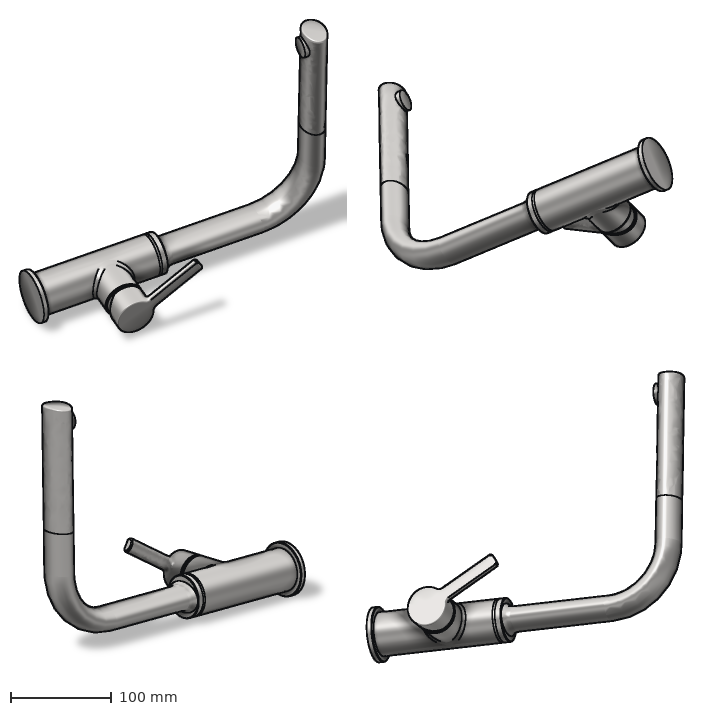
import cadquery as cq
import math


flange_radius = 27.5
flange_thickness = 5.5
flange_edge_chamfer = 0.5
column_radius = 22.0
body_end = 131.0
ring_width = 2.5
collar_start = body_end + ring_width
collar_end = 140.2
collar_edge_chamfer = 0.5

tube_half_width = 17.5
tube_half_depth = 12.3
flare_length = 8.0
flare_growth = 3.5
flare_sections = 5
bend_start = 247.5
bend_radius = 62.0
riser_lean = 1.0
bend_angle = 90 - riser_lean
riser_length = 44.5

overall_height = 263.0
head_top = overall_height - flange_radius
dome_radius = 107.0
head_edge_fillet = 2.3
nozzle_radius = 10.7
nozzle_below_top = 18.5
nozzle_projection = 2.5

arm_position = 80.0
arm_radius = 20.0
arm_end = 44.8
arm_edge_chamfer = 1.0
arm_root_chamfer = 3.0
cartridge_radius = 18.5
cartridge_end = 56.8

knob_start = 46.0
knob_end = 71.5
knob_rough_length = 45.5
knob_edge_chamfer = 1.0
handle_edge_fillet = 1.3
relief_angle = 25.0
relief_start = 1.5
lever_angle = 30.0
lever_length = 82.5
lever_half_thickness = 5.0
lever_half_width = 7.5
lever_centre = 68.2
lever_root_fillet = 5.0
lever_tip_chamfer = 1.3
edge_margin = 0.3


def y_cylinder(radius, start, end):
    """Cylinder on the column axis between two Y positions."""
    return cq.Workplane("XZ", origin=(0, start, 0)).circle(radius).extrude(start - end)


def x_cylinder(radius, start, end):
    """Cylinder on the lever arm axis between two X positions."""
    return cq.Workplane("YZ", origin=(start, arm_position, 0)).circle(radius).extrude(end - start)


def make_flange():
    flange = y_cylinder(flange_radius, 0, flange_thickness)
    return flange.faces(">Y").edges().chamfer(flange_edge_chamfer)


def make_body():
    """Column with the lever arm branching off, blended at the root."""
    column = y_cylinder(column_radius, flange_thickness, body_end)
    arm = x_cylinder(arm_radius, 0, arm_end).faces(">X").edges().chamfer(arm_edge_chamfer)
    arm_root = cq.selectors.BoxSelector(
        (0, arm_position - 2 * arm_radius, -2 * arm_radius),
        (column_radius, arm_position + 2 * arm_radius, 2 * arm_radius),
    )
    return column.union(arm).edges(arm_root).chamfer(arm_root_chamfer)


def make_flare():
    """Concave flare that widens the tube towards the collar."""
    arc_radius = (flare_length**2 + flare_growth**2) / (2 * flare_growth)
    flare = cq.Workplane("XZ", origin=(0, collar_end, 0))
    for i in range(flare_sections):
        to_tube = flare_length * (1 - i / (flare_sections - 1))
        growth = arc_radius - math.sqrt(arc_radius**2 - to_tube**2)
        flare = flare.ellipse(tube_half_width + growth, tube_half_depth + growth)
        if i < flare_sections - 1:
            flare = flare.workplane(offset=-flare_length / (flare_sections - 1))
    return flare.loft()


def riser_point(distance):
    """(Y, Z) on the riser axis at a distance beyond the bend."""
    turn = math.radians(bend_angle)
    y = bend_start + bend_radius * math.sin(turn) + distance * math.cos(turn)
    z = bend_radius * (1 - math.cos(turn)) + distance * math.sin(turn)
    return y, z


def make_spout():
    """Collar, flare, straight tube, bend and short riser in one piece."""
    half_turn = math.radians(bend_angle / 2)
    bend_middle = (
        bend_start + bend_radius * math.sin(half_turn),
        bend_radius * (1 - math.cos(half_turn)),
    )
    path = (
        cq.Workplane("YZ")
        .moveTo(collar_end, 0)
        .lineTo(bend_start, 0)
        .threePointArc(bend_middle, riser_point(0))
        .lineTo(*riser_point(riser_length))
    )
    section = cq.Workplane("XZ", origin=(0, collar_end, 0)).ellipse(tube_half_width, tube_half_depth)
    tube = section.sweep(path)
    collar = y_cylinder(column_radius, collar_start, collar_end)
    collar = collar.faces(">Y").edges().chamfer(collar_edge_chamfer)
    return collar.union(make_flare()).union(tube)


def make_spray_head():
    """Elliptical head with a domed top and the outlet nozzle, tilted in line with the riser."""
    foot_y, foot_z = riser_point(riser_length)
    lean = math.radians(riser_lean)
    raised_side = (tube_half_depth - head_edge_fillet) * math.tan(lean)
    length = (head_top - foot_z) / math.cos(lean) - raised_side
    head = cq.Workplane("XY").ellipse(tube_half_width, tube_half_depth).extrude(length)
    dome = (
        cq.Workplane("XZ", origin=(0, 0, length - dome_radius))
        .circle(dome_radius)
        .extrude(tube_half_depth * 2, both=True)
    )
    head = head.intersect(dome).faces(">Z").edges().fillet(head_edge_fillet)
    nozzle = (
        cq.Workplane("XZ", origin=(0, 0, length - nozzle_below_top))
        .circle(nozzle_radius)
        .extrude(tube_half_depth + nozzle_projection)
    )
    head = head.union(nozzle)
    return head.rotate((0, 0, 0), (1, 0, 0), -riser_lean).translate((0, foot_y, foot_z))


def make_knob():
    """Over-long knob with its inner face sloping away on the -Y side and its inner rim chamfered."""
    knob = cq.Workplane("YZ", origin=(knob_start, 0, 0)).circle(arm_radius).extrude(knob_rough_length)
    relief_side = -2 * arm_radius
    relief_depth = (-relief_start - relief_side) * math.tan(math.radians(relief_angle))
    relief = (
        cq.Workplane("XY")
        .moveTo(knob_start, -relief_start)
        .lineTo(knob_start, relief_side)
        .lineTo(knob_start + relief_depth, relief_side)
        .close()
        .extrude(2 * arm_radius, both=True)
    )
    return knob.cut(relief).edges("%CIRCLE or %ELLIPSE").edges("not >X").chamfer(knob_edge_chamfer)


def make_lever():
    """Elliptical lever along +Y, starting on the arm axis."""
    return (
        cq.Workplane("XZ", origin=(lever_centre, 0, 0))
        .ellipse(lever_half_thickness, lever_half_width)
        .extrude(-lever_length)
        .faces(">Y")
        .edges()
        .chamfer(lever_tip_chamfer)
    )


def make_handle():
    """Knob and lever, cut flush at the outer end.

    They are built with the lever along +Y, then turned about the arm axis.
    """
    knob = make_knob()
    lever = make_lever()
    lever_root = cq.selectors.BoxSelector(
        (lever_centre - lever_half_width, 0, -lever_half_width),
        (lever_centre + lever_half_width, arm_radius + edge_margin, lever_half_width),
    )
    handle = knob.union(lever).edges(lever_root).edges("%BSPLINE").fillet(lever_root_fillet)
    kept_space = cq.Workplane("XY").box(
        knob_end, 3 * lever_length, 3 * lever_length, centered=(False, True, True)
    )
    handle = handle.intersect(kept_space).faces(">X").edges().fillet(handle_edge_fillet)
    handle = handle.rotate((0, 0, 0), (1, 0, 0), lever_angle).translate((0, arm_position, 0))
    return handle.cut(make_cartridge())


def make_cartridge():
    """Cartridge cover between the arm and the socket in the knob."""
    return x_cylinder(cartridge_radius, arm_end, cartridge_end)


flange = make_flange()
body = make_body()
swivel_ring = y_cylinder(column_radius, body_end, collar_start)
spout = make_spout()
spray_head = make_spray_head()
cartridge = make_cartridge()
handle = make_handle()

result = cq.Compound.makeCompound(
    [
        flange.val(),
        body.val(),
        swivel_ring.val(),
        spout.val(),
        spray_head.val(),
        cartridge.val(),
        handle.val(),
    ]
)